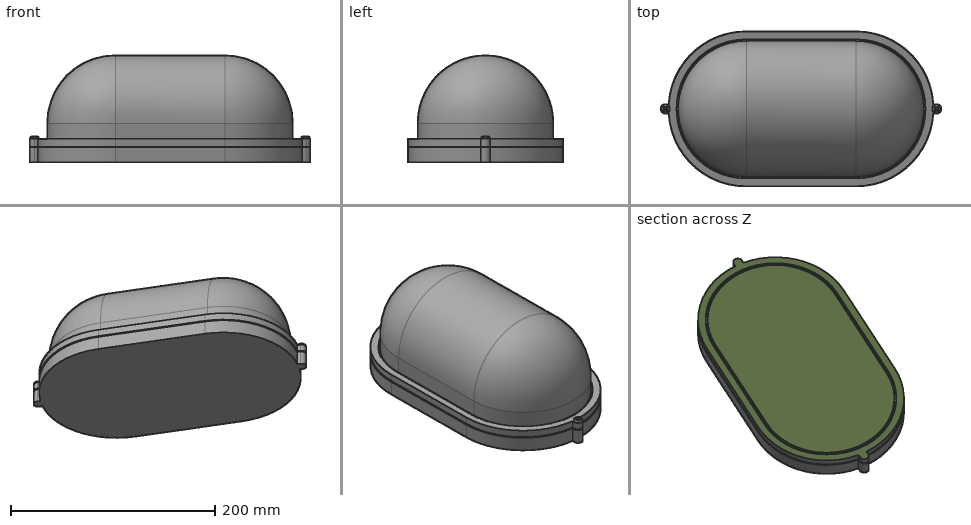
import cadquery as cq

overall_length = 275.0
flange_width = 152.0
straight_length = 107.8

flange_top = 23.0
seam_height = 15.0
dome_spring = 38.5

dome_radius = 66.5
dome_gap = 1.6
gap_depth = 2.2

seam_width = 0.8
seam_depth = 0.3

lug_radius = 4.7
lug_offset = overall_length / 2 - lug_radius
head_radius = 4.5
head_height = 2.5
head_rounding = 2.2
recess_length = 4.7
recess_angle = 45
recess_width = 1.5
recess_depth = 1.5


def stadium(width, bottom, height):
    """Upright prism with round ends that share the straight length."""
    return (
        cq.Workplane("XY", origin=(0, 0, bottom))
        .slot2D(straight_length + width, width)
        .extrude(height)
    )


def base_outline(inset, bottom, height):
    """Flange and both lugs, with every side face moved inward by inset."""
    body = stadium(flange_width - 2 * inset, bottom, height)
    lug_bar = (
        cq.Workplane("XY", origin=(0, 0, bottom))
        .slot2D(overall_length - 2 * inset, 2 * (lug_radius - inset))
        .extrude(height)
    )
    return body.union(lug_bar)


def dome():
    """Straight-walled skirt topped by a half cylinder with spherical ends."""
    skirt = stadium(2 * dome_radius, 0, dome_spring)
    half_straight = straight_length / 2
    barrel = (
        cq.Workplane("YZ", origin=(-half_straight, 0, 0))
        .moveTo(-dome_radius, dome_spring)
        .threePointArc((0, dome_spring + dome_radius), (dome_radius, dome_spring))
        .close()
        .extrude(straight_length)
    )
    shape = skirt.union(barrel)
    for side in (-1, 1):
        ball = cq.Workplane("XY").sphere(dome_radius, angle1=0)
        shape = shape.union(ball.translate((side * half_straight, 0, dome_spring)))
    return shape


def screw_head(x):
    """Rounded screw head with a diagonal cross recess, standing on a lug."""
    head = (
        cq.Workplane("XY", origin=(x, 0, flange_top))
        .circle(head_radius)
        .extrude(head_height)
        .faces(">Z")
        .edges()
        .fillet(head_rounding)
    )
    recess_floor = flange_top + head_height - recess_depth
    for angle in (recess_angle, recess_angle + 90):
        slot = (
            cq.Workplane("XY", origin=(x, 0, recess_floor))
            .transformed(rotate=(0, 0, angle))
            .rect(recess_length, recess_width)
            .extrude(recess_depth)
        )
        head = head.cut(slot)
    return head


base = base_outline(0, 0, seam_height - seam_width / 2)
seam = base_outline(seam_depth, 0, flange_top)
rim_bottom = seam_height + seam_width / 2
rim = base_outline(0, rim_bottom, flange_top - rim_bottom)
housing = base.union(seam).union(rim)

clearance = stadium(2 * (dome_radius + dome_gap), flange_top - gap_depth, gap_depth)
result = housing.cut(clearance).union(dome())

for side in (-1, 1):
    result = result.union(screw_head(side * lug_offset))